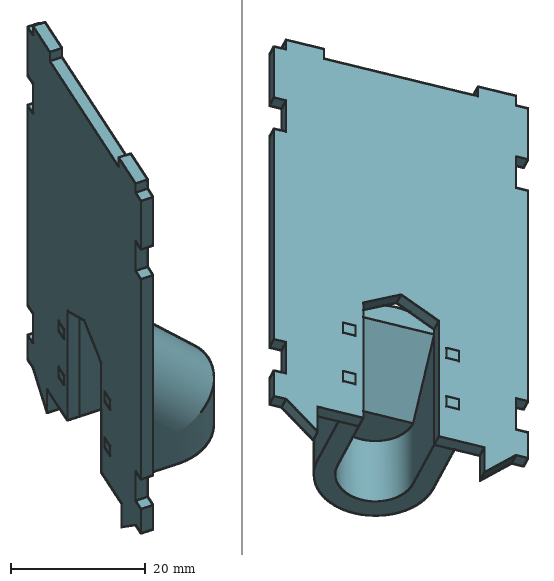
import cadquery as cq
import math

plate_width = 40.2
plate_height = 77.0
plate_thickness = 2.0
edge_step = 1.9
plate_bottom = 5.0
prong_inner_x = 13.2
tab_inner_x = 12.2
notch_height = 6.2
notch_bottoms = [10.2, 58.6]

slot_width = 11.9
slot_shoulder = 28.1
slot_roof_angle = 30.0

hood_radius = 9.2
bend_z = 11.55
dome_z = 21.55
ceiling_rise = 5.55

peg_size = 2.0
peg_rows = [12.4, 22.1]

half_width = plate_width / 2
step_x = half_width - edge_step
slot_half = slot_width / 2
slot_apex = slot_shoulder + slot_half * math.tan(math.radians(slot_roof_angle))
bend_y = plate_thickness + hood_radius
peg_x = hood_radius - peg_size / 2
lean_drop = dome_z - bend_z


def extrude_along_y(outline, start_y, depth):
    """Extrude a closed XZ outline from start_y toward +Y."""
    return cq.Workplane("XZ", origin=(0, start_y, 0)).polyline(outline).close().extrude(-depth)


def extrude_along_x(outline, width):
    """Extrude a closed YZ outline symmetrically about X = 0."""
    return cq.Workplane("YZ").polyline(outline).close().extrude(width / 2, both=True)


def round_backed_prism(radius, bottom, top):
    """Upright prism behind the plate: straight sides and a half-round back about the vertical axis."""
    return (
        cq.Workplane("XY", origin=(0, 0, bottom))
        .moveTo(-radius, plate_thickness)
        .lineTo(-radius, bend_y)
        .threePointArc((0, bend_y + radius), (radius, bend_y))
        .lineTo(radius, plate_thickness)
        .close()
        .extrude(top - bottom)
    )


def make_pegs():
    """Four square pegs spanning the plate thickness."""
    centres = [(x, z) for x in (-peg_x, peg_x) for z in peg_rows]
    return cq.Workplane("XZ").pushPoints(centres).rect(peg_size, peg_size).extrude(-plate_thickness)


def make_plate():
    right_side = [
        (prong_inner_x, plate_bottom),
        (prong_inner_x, 0),
        (step_x, plate_bottom),
        (half_width, plate_bottom),
    ]
    for bottom in notch_bottoms:
        top = bottom + notch_height
        right_side += [(half_width, bottom), (step_x, bottom), (step_x, top), (half_width, top)]
    right_side += [
        (half_width, plate_height - edge_step),
        (step_x, plate_height - edge_step),
        (step_x, plate_height),
        (tab_inner_x, plate_height),
        (tab_inner_x, plate_height - edge_step),
    ]
    left_side = [(-x, z) for x, z in reversed(right_side)]
    plate = extrude_along_y(right_side + left_side, 0, plate_thickness)

    slot = extrude_along_y(
        [
            (-slot_half, plate_bottom),
            (-slot_half, slot_shoulder),
            (0, slot_apex),
            (slot_half, slot_shoulder),
            (slot_half, plate_bottom),
        ],
        0,
        plate_thickness,
    )
    return plate.cut(slot).cut(make_pegs())


def make_hood_outside():
    """Leaning half-round roof with a dome at the plate, trimmed to the upright round back."""
    dome_centre = cq.Vector(0, plate_thickness, dome_z)
    lean = cq.Vector(0, hood_radius, -lean_drop)
    roof_length = 2 * lean.Length + hood_radius
    dome = cq.Workplane(cq.Solid.makeSphere(hood_radius, dome_centre, cq.Vector(0, 0, 1), -90, 90, 360))
    roof = cq.Workplane(cq.Solid.makeCylinder(hood_radius, roof_length, dome_centre, lean))

    axis_back_y = plate_thickness + 2 * hood_radius
    axis_back_z = dome_z - 2 * lean_drop
    block = extrude_along_x(
        [(plate_thickness, dome_z), (axis_back_y, axis_back_z), (plate_thickness, axis_back_z)],
        2 * hood_radius,
    )
    envelope = round_backed_prism(hood_radius, plate_bottom, dome_z + hood_radius)
    return envelope.intersect(roof.union(dome).union(block))


def make_hood_cavity():
    """Sloped-ceiling passage joined to a flat-topped, round-backed recess, open at the bottom."""
    recess_top = bend_z + ceiling_rise
    passage = extrude_along_x(
        [
            (plate_thickness, plate_bottom),
            (plate_thickness, dome_z + ceiling_rise),
            (bend_y, recess_top),
            (bend_y, plate_bottom),
        ],
        slot_width,
    )
    return round_backed_prism(slot_half, plate_bottom, recess_top).union(passage)


def make_hood():
    return make_hood_outside().cut(make_hood_cavity()).union(make_pegs())


plate = make_plate()
hood = make_hood()
result = cq.Compound.makeCompound([plate.solids().val(), hood.solids().val()])